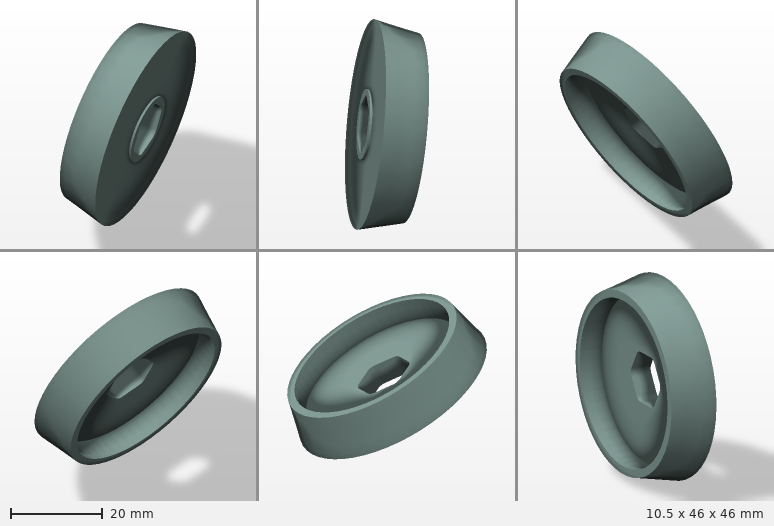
import cadquery as cq

outer_diameter = 46.0
rim_diameter = 41.6
disc_thickness = 10.0
boss_diameter = 15.5
boss_height = 0.5
pocket_diameter = 38.0
pocket_depth = 5.5
hex_across_flats = 11.5
hex_corner_radius = 1.95
hex_turn = 30.0

total_thickness = disc_thickness + boss_height


def disc_body():
    """Solid of revolution about X: tapered disc with a low boss on its wide face."""
    profile = (
        cq.Workplane("XZ")
        .lineTo(0, rim_diameter / 2)
        .lineTo(disc_thickness, outer_diameter / 2)
        .lineTo(disc_thickness, boss_diameter / 2)
        .lineTo(total_thickness, boss_diameter / 2)
        .lineTo(total_thickness, 0)
        .close()
    )
    return profile.revolve(360, (0, 0, 0), (1, 0, 0))


def pocket():
    """Round recess sunk into the narrow face."""
    return cq.Workplane("YZ").circle(pocket_diameter / 2).extrude(pocket_depth)


def hex_bore():
    """Through bore with rounded corners, two of them pointing along Y."""
    return (
        cq.Workplane("YZ")
        .transformed(rotate=(0, 0, hex_turn))
        .polygon(6, hex_across_flats, circumscribed=True)
        .extrude(total_thickness)
        .edges("|X")
        .fillet(hex_corner_radius)
    )


result = disc_body().cut(pocket()).cut(hex_bore())